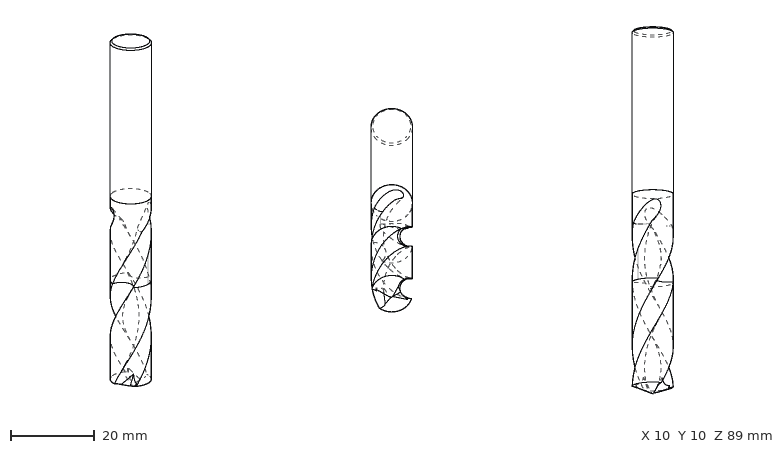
import cadquery as cq
import math

TOTAL_LENGTH = 89.0
SHANK_DIAMETER = 10.0
SHANK_LENGTH = 40.05
SHANK_CHAMFER = 0.45
CUTTER_DIAMETER = 9.9
JOINT_HEIGHT = 27.3
POINT_ANGLE = 140.0

FLUTE_COUNT = 2
HELIX_ANGLE = 30.0
CORE_RADIUS = 2.0
FLUTE_RADIUS = 2.85
FLUTE_START_ANGLE = -87.0
FLUTE_TOP = 41.4
RUNOUT_HEIGHT = 7.1
RUNOUT_ANGLE = 46.0
RUNOUT_FLARE = 8.0

GASH_OFFSET = 0.3
GASH_FOOT_HEIGHT = 0.1
GASH_CREASE_REACH = 3.6
GASH_CREASE_HEIGHT = 6.7
GASH_CREASE_BEARING = -33.0
GASH_WALL_REACH = 4.0
GASH_WALL_DROP = 0.3
GASH_WALL_BEARING = -128.0

cutter_radius = CUTTER_DIAMETER / 2
neck_top = TOTAL_LENGTH - SHANK_LENGTH
point_height = cutter_radius / math.tan(math.radians(POINT_ANGLE / 2))
helix_pitch = math.pi * CUTTER_DIAMETER / math.tan(math.radians(HELIX_ANGLE))
flute_twist = 360 * FLUTE_TOP / helix_pitch
flute_offset = CORE_RADIUS + FLUTE_RADIUS


def polar(radius, bearing, height):
    """Point at a radius, bearing in degrees and height about the drill axis."""
    angle = math.radians(bearing)
    return cq.Vector(radius * math.cos(angle), radius * math.sin(angle), height)


def helical_flute():
    center = polar(flute_offset, FLUTE_START_ANGLE, 0)
    section = cq.Workplane("XY").pushPoints([(center.x, center.y)]).circle(FLUTE_RADIUS)
    return section.twistExtrude(FLUTE_TOP, flute_twist)


def flute_runout():
    """Straight oblique end of a flute, flaring outward from the tangent."""
    end_angle = FLUTE_START_ANGLE + flute_twist
    drift = RUNOUT_HEIGHT * math.tan(math.radians(RUNOUT_ANGLE))
    travel = polar(drift, end_angle + 90 - RUNOUT_FLARE, RUNOUT_HEIGHT)
    section = cq.Wire.makeCircle(FLUTE_RADIUS, polar(flute_offset, end_angle, FLUTE_TOP), cq.Vector(0, 0, 1))
    return cq.Workplane(cq.Solid.extrudeLinear(section, [], travel))


def point_gash():
    """Tetrahedron whose two inner faces are the walls of the V-shaped gash."""
    foot = polar(GASH_OFFSET, FLUTE_START_ANGLE, GASH_FOOT_HEIGHT)
    crease_end = foot + polar(GASH_CREASE_REACH, GASH_CREASE_BEARING, GASH_CREASE_HEIGHT)
    inner_end = foot + polar(GASH_WALL_REACH, GASH_CREASE_BEARING, -GASH_WALL_DROP)
    outer_end = foot + polar(GASH_WALL_REACH, GASH_WALL_BEARING, -GASH_WALL_DROP)
    corners = [foot, crease_end, inner_end, outer_end]
    faces = []
    for omitted in corners:
        triangle = [corner for corner in corners if corner is not omitted]
        faces.append(cq.Face.makeFromWires(cq.Wire.makePolygon(triangle, close=True)))
    return cq.Workplane(cq.Solid.makeSolid(cq.Shell.makeShell(faces)))


def fluted_body():
    """Cutting head and neck together, before they are parted at the joint."""
    profile = [(0, 0), (cutter_radius, point_height), (cutter_radius, neck_top), (0, neck_top)]
    body = cq.Workplane("XZ").polyline(profile).close().revolve(360, (0, 0), (0, 1))
    cutters = [helical_flute(), flute_runout(), point_gash()]
    for index in range(FLUTE_COUNT):
        turn = 360 / FLUTE_COUNT * index
        for cutter in cutters:
            body = body.cut(cutter.rotate((0, 0, 0), (0, 0, 1), turn))
    return body


def below_joint():
    """Block that encloses everything under the joint plane."""
    return cq.Workplane("XY").rect(2 * SHANK_DIAMETER, 2 * SHANK_DIAMETER).extrude(JOINT_HEIGHT)


def make_cutting_head(body):
    return body.intersect(below_joint())


def make_holder(body):
    """Fluted neck with its plain cylindrical shank."""
    shank = cq.Workplane("XY", origin=(0, 0, neck_top)).circle(SHANK_DIAMETER / 2).extrude(SHANK_LENGTH)
    shank = shank.faces(">Z").chamfer(SHANK_CHAMFER)
    return body.cut(below_joint()).union(shank)


drill_body = fluted_body()
cutting_head = make_cutting_head(drill_body)
holder = make_holder(drill_body)

result = cq.Compound.makeCompound([cutting_head.val(), holder.val()])